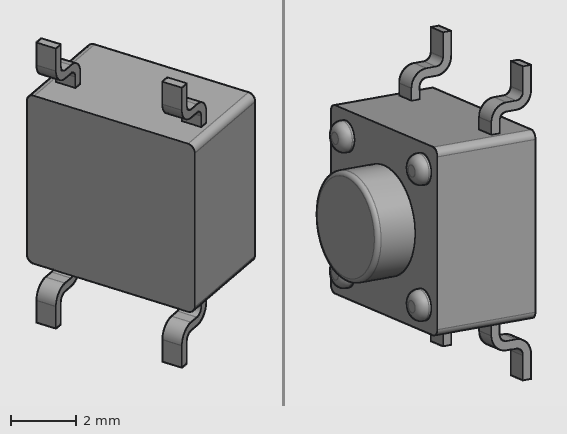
import cadquery as cq

body_size = 6.0
body_depth = 3.58
corner_radius = 0.25

button_diameter = 3.5
button_height = 1.4
button_edge_radius = 0.15

rivet_diameter = 1.0
rivet_height = 0.4
rivet_edge_radius = 0.31
rivet_offset = 2.16

overall_height = 10.0
lead_width = 0.7
lead_thickness = 0.3
lead_offset = 2.25
lead_front_overhang = 0.1
lead_span = 1.45
bend_inner_radius = 0.25
bend_outer_radius = bend_inner_radius + lead_thickness
bend_start = 0.4
lead_embed = 0.1


def make_body():
    block = cq.Workplane("XY").box(body_size, body_depth, body_size, centered=(True, False, True))
    return block.edges("|Y").fillet(corner_radius)


def make_rounded_disc(x, z, diameter, height, edge_radius):
    """Disc standing on the back face with a rounded outer rim."""
    disc = cq.Workplane("XZ", origin=(x, body_depth, z)).circle(diameter / 2).extrude(-height)
    return disc.faces(">Y").edges().fillet(edge_radius)


def make_upper_lead(x):
    """Flat strip that rises from the housing, steps forward and rises again."""
    root_z = body_size / 2 - lead_embed
    tip_z = overall_height / 2
    front_y = -lead_front_overhang
    back_y = front_y + lead_span
    step_bottom_z = body_size / 2 + bend_start + bend_inner_radius
    step_top_z = step_bottom_z + lead_thickness
    outline = [
        (back_y, root_z),
        (back_y, step_top_z),
        (front_y + lead_thickness, step_top_z),
        (front_y + lead_thickness, tip_z),
        (front_y, tip_z),
        (front_y, step_bottom_z),
        (back_y - lead_thickness, step_bottom_z),
        (back_y - lead_thickness, root_z),
    ]
    strip = (
        cq.Workplane("YZ", origin=(x, 0, 0))
        .polyline(outline)
        .close()
        .extrude(lead_width / 2, both=True)
    )

    def bend_edge(y, z):
        return cq.selectors.NearestToPointSelector((x, y, z))

    strip = strip.edges("|X").edges(bend_edge(back_y, step_top_z)).fillet(bend_outer_radius)
    strip = strip.edges("|X").edges(bend_edge(front_y, step_bottom_z)).fillet(bend_outer_radius)
    inner_bends = [
        (back_y - lead_thickness, step_bottom_z),
        (front_y + lead_thickness, step_top_z),
    ]
    for y, z in inner_bends:
        strip = strip.edges("|X").edges(bend_edge(y, z)).fillet(bend_inner_radius)
    return strip


result = make_body()
result = result.union(make_rounded_disc(0, 0, button_diameter, button_height, button_edge_radius))

for side_x in (-1, 1):
    for side_z in (-1, 1):
        rivet = make_rounded_disc(
            side_x * rivet_offset, side_z * rivet_offset, rivet_diameter, rivet_height, rivet_edge_radius
        )
        result = result.union(rivet)

    upper_lead = make_upper_lead(side_x * lead_offset)
    result = result.union(upper_lead).union(upper_lead.mirror("XY"))